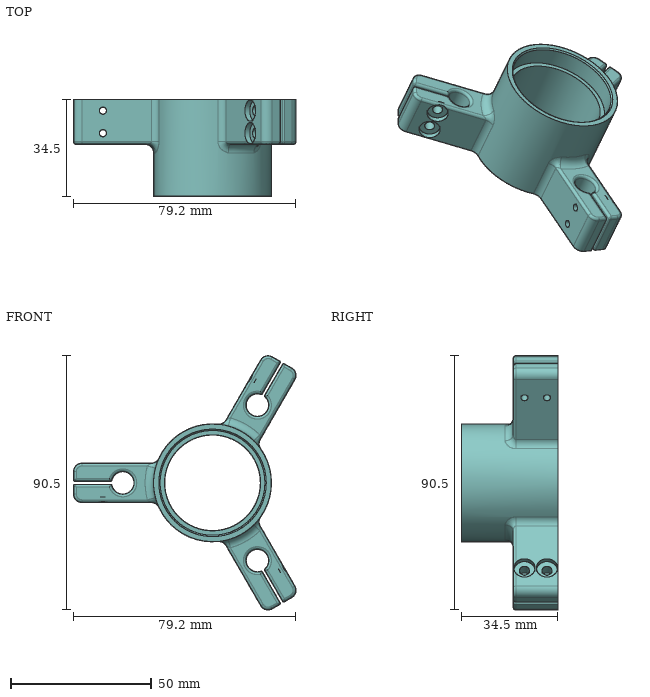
import cadquery as cq
import math

OVERALL_HEIGHT = 90.5

SLEEVE_LENGTH = 34.5
SLEEVE_DIAMETER = 42.0
BORE_DIAMETER = 34.0
SEAT_DIAMETER = 37.3
SEAT_DEPTH = 7.0
MOUTH_CHAMFER = 0.5

ARM_COUNT = 3
ARM_WIDTH = 14.0
ARM_DEPTH = 16.0
ARM_CORNER_RADIUS = 3.0
ARM_EDGE_RADIUS = 1.0
ROOT_RADIUS = 3.0
FIRST_ARM_ANGLE = 180

ARM_LEAN = math.radians(30)
CORNER_CENTER_HEIGHT = OVERALL_HEIGHT / 2 - ARM_CORNER_RADIUS
CORNER_CENTER_OFFSET = ARM_WIDTH / 2 - ARM_CORNER_RADIUS
ARM_REACH = (
    ARM_CORNER_RADIUS
    + (CORNER_CENTER_HEIGHT - CORNER_CENTER_OFFSET * math.sin(ARM_LEAN)) / math.cos(ARM_LEAN)
)

ROD_DIAMETER = 8.0
ROD_DISTANCE = 32.0
SLIT_WIDTH = 1.0
SLIT_CORNER_RADIUS = 0.5

SCREW_DISTANCE = 39.0
SCREW_SPACING = ARM_DEPTH / 2
CLEARANCE_DIAMETER = 3.5
TAP_DIAMETER = 2.4
HEAD_DIAMETER = 7.5
HEAD_DEPTH = 2.0


def cylinder_along_y(diameter, front, length):
    """Cylinder on the Y axis, running from front towards +Y."""
    return cq.Workplane("XZ", origin=(0, front, 0)).circle(diameter / 2).extrude(-length)


def screw_cylinder(diameter, y, start, length):
    """Cylinder across the +X arm at one screw place, from Z = start upwards."""
    plane = cq.Workplane("XY", origin=(SCREW_DISTANCE, y, start))
    return plane.circle(diameter / 2).extrude(length)


def make_arm():
    """Slit arm pointing along +X, starting on the sleeve axis, with rounded front and slit edges."""
    arm = (
        cq.Workplane("XY")
        .box(ARM_REACH, ARM_DEPTH, ARM_WIDTH, centered=(False, False, True))
        .translate((0, -ARM_DEPTH, 0))
        .edges("|Y and >X")
        .fillet(ARM_CORNER_RADIUS)
    )
    rod_hole = cylinder_along_y(ROD_DIAMETER, -ARM_DEPTH, ARM_DEPTH).translate((ROD_DISTANCE, 0, 0))
    slit = (
        cq.Workplane("XY")
        .box(ARM_REACH - ROD_DISTANCE, ARM_DEPTH, SLIT_WIDTH, centered=(False, False, True))
        .translate((ROD_DISTANCE, -ARM_DEPTH, 0))
    )
    slit_corners = cq.selectors.BoxSelector(
        (ROD_DISTANCE, -ARM_DEPTH, -SLIT_WIDTH),
        (ARM_REACH + SLIT_WIDTH, 0, SLIT_WIDTH),
    )
    arm = arm.cut(rod_hole).cut(slit).faces("<Y").edges().fillet(ARM_EDGE_RADIUS)
    return arm.edges("|Y").edges(slit_corners).fillet(SLIT_CORNER_RADIUS)


def make_screw_cutter():
    """Two screws through the +X arm: heads sunk in the +Z side, threads in the -Z half."""
    cutter = cq.Workplane("XY")
    for side in (-1, 1):
        y = -ARM_DEPTH / 2 + side * SCREW_SPACING / 2
        cutter = cutter.add(screw_cylinder(TAP_DIAMETER, y, -ARM_WIDTH / 2, ARM_WIDTH / 2))
        cutter = cutter.add(screw_cylinder(CLEARANCE_DIAMETER, y, 0, ARM_WIDTH / 2))
        cutter = cutter.add(screw_cylinder(HEAD_DIAMETER, y, ARM_WIDTH / 2 - HEAD_DEPTH, HEAD_DEPTH))
    return cutter.combine()


def around_sleeve(shape):
    """Copies of a +X shape for every arm; the first arm points along -X."""
    step = 360 / ARM_COUNT
    return [shape.rotate((0, 0, 0), (0, 1, 0), FIRST_ARM_ANGLE + i * step) for i in range(ARM_COUNT)]


def make_bore():
    """Through bore with a wider seat at the front, opening in a chamfered mouth."""
    bore_radius = BORE_DIAMETER / 2
    seat_radius = SEAT_DIAMETER / 2
    half_profile = [
        (0, 0),
        (bore_radius, 0),
        (bore_radius, SEAT_DEPTH - SLEEVE_LENGTH),
        (seat_radius, SEAT_DEPTH - SLEEVE_LENGTH),
        (seat_radius, MOUTH_CHAMFER - SLEEVE_LENGTH),
        (seat_radius + MOUTH_CHAMFER, -SLEEVE_LENGTH),
        (0, -SLEEVE_LENGTH),
    ]
    return cq.Workplane("XY").polyline(half_profile).close().revolve(360, (0, 0), (0, 1))


body = cylinder_along_y(SLEEVE_DIAMETER, -SLEEVE_LENGTH, SLEEVE_LENGTH)
for arm in around_sleeve(make_arm()):
    body = body.union(arm)

root_zone = cq.selectors.BoxSelector(
    (-SLEEVE_DIAMETER / 2, -SLEEVE_LENGTH / 2, -SLEEVE_DIAMETER / 2),
    (SLEEVE_DIAMETER / 2, -ARM_EDGE_RADIUS, SLEEVE_DIAMETER / 2),
)
body = body.edges(root_zone).fillet(ROOT_RADIUS)

body = body.cut(make_bore())
for screws in around_sleeve(make_screw_cutter()):
    body = body.cut(screws)

result = body